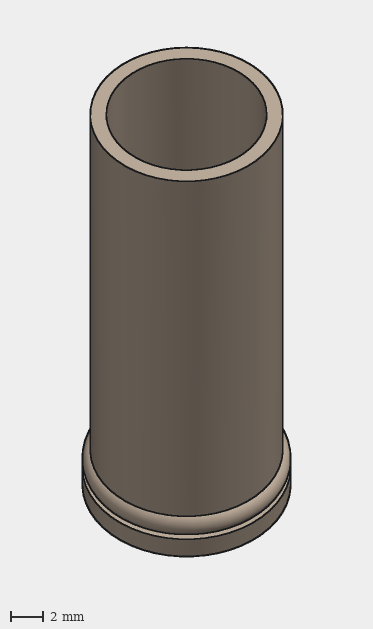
import cadquery as cq

total_height = 32.0
bore_diameter = 10.0
tube_diameter = 12.0
collar_diameter = 13.0
collar_height = 1.5
bead_height = 1.5

tube_radius = tube_diameter / 2
bore_radius = bore_diameter / 2
collar_radius = collar_diameter / 2
bead_top = collar_height + bead_height
bead_middle = collar_height + bead_height / 2

half_section = (
    cq.Workplane("XZ")
    .moveTo(bore_radius, 0)
    .lineTo(collar_radius, 0)
    .lineTo(collar_radius, collar_height)
    .lineTo(tube_radius, collar_height)
    .threePointArc((collar_radius, bead_middle), (tube_radius, bead_top))
    .lineTo(tube_radius, total_height)
    .lineTo(bore_radius, total_height)
    .close()
)

result = half_section.revolve(360, (0, 0), (0, 1))